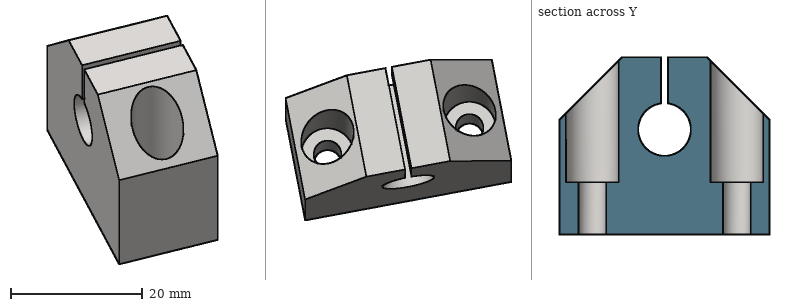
import cadquery as cq

length = 32.0
width = 16.0
height = 27.0
chamfer = 9.5

bore_diameter = 8.0
bore_height = 16.0
slot_width = 1.0

screw_offset = 11.0
screw_diameter = 4.2
head_diameter = 8.0
head_floor = 8.0


def make_block():
    block = cq.Workplane("XY").box(length, width, height, centered=(True, True, False))
    return block.faces(">Z").edges("|Y").chamfer(chamfer)


def make_clamp_opening():
    bore = (
        cq.Workplane("XZ")
        .center(0, bore_height)
        .circle(bore_diameter / 2)
        .extrude(width / 2, both=True)
    )
    slot = (
        cq.Workplane("XY")
        .workplane(offset=bore_height)
        .rect(slot_width, width)
        .extrude(height - bore_height)
    )
    return bore.union(slot)


def make_screw_hole(x):
    shank = cq.Workplane("XY").center(x, 0).circle(screw_diameter / 2).extrude(height)
    head = (
        cq.Workplane("XY")
        .workplane(offset=head_floor)
        .center(x, 0)
        .circle(head_diameter / 2)
        .extrude(height - head_floor)
    )
    return shank.union(head)


result = make_block().cut(make_clamp_opening())
for side in (-1, 1):
    result = result.cut(make_screw_hole(side * screw_offset))